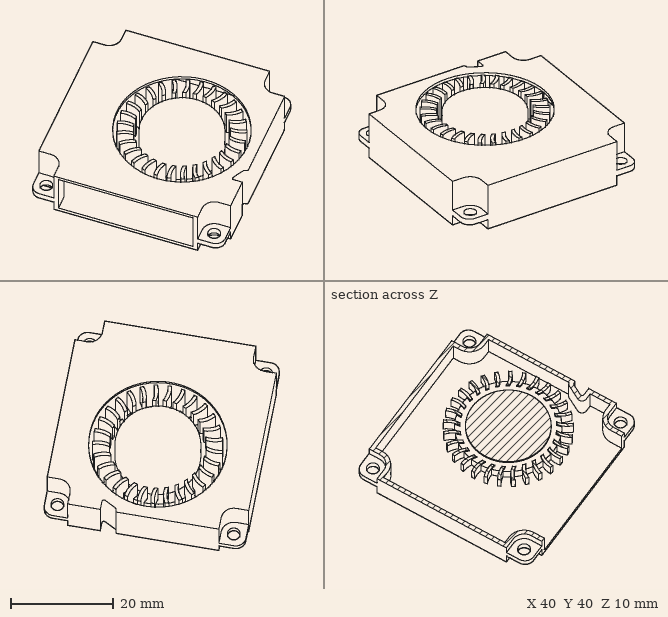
import cadquery as cq
SIDE = 40.0
HEIGHT = 10.0
HALF_SIDE = SIDE / 2
WALL = 1.0
FLOOR = 0.8
ROOF = 0.65
CORNER_CUT = 5.0
CORNER_CUT_RADIUS = 2.5

EAR_BOTTOM = 2.1
EAR_TOP = 3.45
EAR_RADIUS = 2.0
EAR_HOLE_DIAMETER = 2.5

NOTCH_DEPTH = 2.4
NOTCH_BOTTOM_Y = -8.5
NOTCH_TOP_Y = -5.5
NOTCH_MOUTH_DEPTH = 0.75
NOTCH_RADIUS = 0.4

AXIS_X = 4.2
INLET_RADIUS = 13.5
ROTOR_BOTTOM = 2.8

DISC_RADIUS = 10.5
DISC_TOP = 4.75

HUB_RADIUS = 8.4
HUB_TOP = HEIGHT
HUB_FILLET = 0.5

BLADE_COUNT = 29
BLADE_TOP = HEIGHT
BLADE_THICKNESS = 0.7
BLADE_ROOT = (9.45, 0.35)
BLADE_MIDDLE = (11.05, -0.1)
BLADE_TIP = (12.7, -0.05)
BLADE_START_ANGLE = 180.0


def corner_signs():
    return [(sx, sy) for sx in (-1, 1) for sy in (-1, 1)]


def relieved_block(half_side, relief_edge, relief_radius, bottom, top):
    """Square block whose corners beyond relief_edge are cut away with a rounded inner corner."""
    height = top - bottom
    block = cq.Workplane("XY").workplane(offset=bottom).rect(2 * half_side, 2 * half_side).extrude(height)
    relief_side = 2 * (half_side - relief_edge)
    for sx, sy in corner_signs():
        relief = (
            cq.Workplane("XY")
            .workplane(offset=bottom)
            .center(sx * half_side, sy * half_side)
            .rect(relief_side, relief_side)
            .extrude(height)
            .edges("|Z")
            .fillet(relief_radius)
        )
        block = block.cut(relief)
    return block


def make_ears():
    """Rounded square plate with the four screw holes; only its corners stand clear of the shell."""
    hole_place = HALF_SIDE - CORNER_CUT / 2
    plate = (
        cq.Workplane("XY")
        .workplane(offset=EAR_BOTTOM)
        .rect(SIDE, SIDE)
        .extrude(EAR_TOP - EAR_BOTTOM)
        .edges("|Z")
        .fillet(EAR_RADIUS)
    )
    holes = (
        cq.Workplane("XY")
        .pushPoints([(sx * hole_place, sy * hole_place) for sx, sy in corner_signs()])
        .circle(EAR_HOLE_DIAMETER / 2)
        .extrude(HEIGHT)
    )
    return plate.cut(holes)


def make_cavity():
    """Inner space that follows the shell and the notch at wall distance and opens through the -Y side."""
    inner_half = HALF_SIDE - WALL
    relief_edge = HALF_SIDE - CORNER_CUT - WALL
    cavity = relieved_block(inner_half, relief_edge, CORNER_CUT_RADIUS + WALL, FLOOR, HEIGHT - ROOF)
    outlet = (
        cq.Workplane("XY")
        .workplane(offset=FLOOR)
        .center(0, -HALF_SIDE / 2)
        .rect(2 * relief_edge, HALF_SIDE)
        .extrude(HEIGHT - ROOF - FLOOR)
    )
    notch_wall = make_cable_notch(FLOOR, HEIGHT - ROOF, WALL)
    return cavity.union(outlet).cut(notch_wall)


def make_cable_notch(bottom, top, margin=0):
    """Prism with the notch outline, grown sideways by margin."""
    notch = (
        cq.Workplane("XY")
        .workplane(offset=bottom)
        .moveTo(HALF_SIDE + NOTCH_DEPTH, NOTCH_BOTTOM_Y)
        .lineTo(HALF_SIDE - NOTCH_DEPTH, NOTCH_BOTTOM_Y)
        .lineTo(HALF_SIDE - NOTCH_MOUTH_DEPTH, NOTCH_TOP_Y)
        .lineTo(HALF_SIDE + NOTCH_DEPTH, NOTCH_TOP_Y)
        .close()
    )
    if margin:
        return notch.offset2D(margin).extrude(top - bottom)
    return notch.extrude(top - bottom).edges("|Z and (not >X)").fillet(NOTCH_RADIUS)


def round_notch_mouth(housing, mouth_y, radius):
    """Round the upright edges where one side of the notch meets the +X face."""
    reach = 0.05
    mouth_edges = cq.selectors.BoxSelector(
        (HALF_SIDE - reach, mouth_y - reach, -reach),
        (HALF_SIDE + reach, mouth_y + reach, HEIGHT + reach),
    )
    return housing.edges(mouth_edges).edges("|Z").fillet(radius)


def make_housing():
    shell = relieved_block(HALF_SIDE, HALF_SIDE - CORNER_CUT, CORNER_CUT_RADIUS, 0, HEIGHT)
    inlet = (
        cq.Workplane("XY")
        .workplane(offset=HEIGHT - ROOF)
        .center(AXIS_X, 0)
        .circle(INLET_RADIUS)
        .extrude(ROOF)
    )
    housing = shell.union(make_ears()).cut(make_cavity()).cut(inlet).cut(make_cable_notch(0, HEIGHT))
    return round_notch_mouth(housing, NOTCH_TOP_Y, NOTCH_RADIUS)


def make_hub():
    return (
        cq.Workplane("XY")
        .workplane(offset=DISC_TOP)
        .center(AXIS_X, 0)
        .circle(HUB_RADIUS)
        .extrude(HUB_TOP - DISC_TOP)
        .faces(">Z")
        .edges()
        .fillet(HUB_FILLET)
    )


def make_blade(angle):
    """One blade: an arc swept sideways by the blade thickness, turned about the rotor axis."""
    half = BLADE_THICKNESS / 2

    def shifted(point, offset):
        return (point[0], point[1] + offset)

    return (
        cq.Workplane("XY")
        .workplane(offset=ROTOR_BOTTOM)
        .moveTo(*shifted(BLADE_ROOT, half))
        .threePointArc(shifted(BLADE_MIDDLE, half), shifted(BLADE_TIP, half))
        .lineTo(*shifted(BLADE_TIP, -half))
        .threePointArc(shifted(BLADE_MIDDLE, -half), shifted(BLADE_ROOT, -half))
        .close()
        .extrude(BLADE_TOP - ROTOR_BOTTOM)
        .rotate((0, 0, 0), (0, 0, 1), angle)
        .translate((AXIS_X, 0, 0))
    )


def make_impeller():
    impeller = (
        cq.Workplane("XY")
        .workplane(offset=ROTOR_BOTTOM)
        .center(AXIS_X, 0)
        .circle(DISC_RADIUS)
        .extrude(DISC_TOP - ROTOR_BOTTOM)
    )
    for index in range(BLADE_COUNT):
        impeller = impeller.union(make_blade(BLADE_START_ANGLE + index * 360 / BLADE_COUNT))
    return impeller


housing = make_housing()
impeller = make_impeller()
hub = make_hub()

result = cq.Compound.makeCompound([housing.val(), impeller.val(), hub.val()])